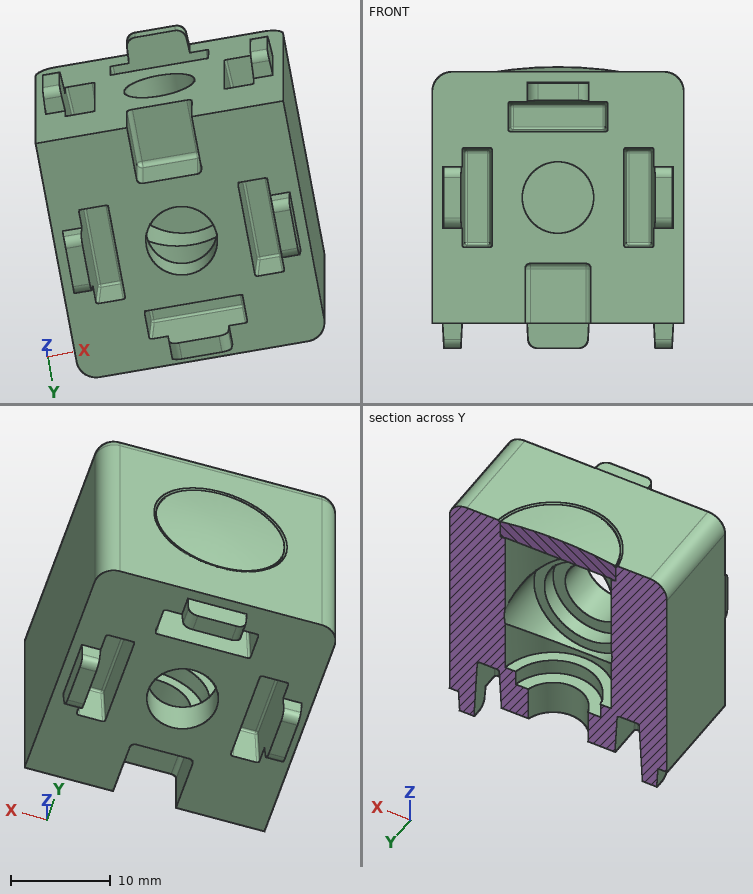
import cadquery as cq
import math

overall = 28.2
cube = 25.2
half = cube / 2
edge_radius = 2.0

draft_angle = 3.0
slot_outer = 9.6
tab_height = 2.5
tab_length = 6.2
tab_thickness = 1.97
tab_corner_radius = 1.0
slot_length = 9.98
slot_width = 3.0
slot_depth = 5.0
slot_radius = 0.25
connector_angles = (0, 90, 180)

notch_width = 6.6
notch_depth = 6.0
notch_radius = 0.54

port_radius = 3.58
port_depth = 4.0
step_radius = 5.0
step_depth = 5.72
chamber_radius = 6.2
lens_radius = 6.75
mouth_chamfer = 0.25
lens_rise = overall - cube - tab_height
rim_drop = 0.08
rim_thickness = 2.0
rim_z = half - rim_drop
seat_z = rim_z - rim_thickness
dome_sag = lens_rise + rim_drop
dome_radius = (lens_radius**2 + dome_sag**2) / (2 * dome_sag)


def on_both_axes(shape):
    """Return the shape and its twin with the Y and Z directions exchanged."""
    return [shape, shape.rotate((0, 0, 0), (0, 1, 1), 180)]


def make_block():
    """Cube with rounded edges, except around its front and bottom faces."""
    block = cq.Workplane("XY").box(cube, cube, cube)
    block = block.edges("|Y and >Z").fillet(edge_radius)
    return block.faces(">Y").edges("not <Z").fillet(edge_radius)


def make_tab():
    """Drafted tab under the bottom face, on the +X side."""
    tab = (
        cq.Workplane("XY", origin=(slot_outer + tab_thickness / 2, 0, -half))
        .rect(tab_thickness, tab_length)
        .extrude(-tab_height, taper=draft_angle)
    )
    return tab.faces("<Z").edges("|X").fillet(tab_corner_radius)


def make_slot():
    """Drafted slot volume rising from the bottom face, on the +X side."""
    slot = (
        cq.Workplane("XY", origin=(slot_outer - slot_width / 2, 0, -half))
        .rect(slot_width, slot_length)
        .extrude(slot_depth, taper=draft_angle)
    )
    return slot.edges("not <Z").fillet(slot_radius)


def make_notch():
    """Notch volume open to the front and bottom, with rounded inner edges."""
    notch = cq.Workplane("XY").box(notch_width, notch_depth, notch_depth)
    offset = half - notch_depth / 2
    return notch.edges("not (<Y or <Z)").fillet(notch_radius).translate((0, -offset, -offset))


def make_light_path():
    """Stepped bore along Z from the port in the bottom to the lens seat on top."""
    port_top = port_depth - half
    step_top = step_depth - half
    return (
        cq.Workplane("XZ")
        .moveTo(0, -half)
        .lineTo(port_radius, -half)
        .lineTo(port_radius, port_top)
        .lineTo(step_radius, port_top)
        .lineTo(step_radius, step_top)
        .lineTo(chamber_radius, step_top)
        .lineTo(chamber_radius, seat_z)
        .lineTo(lens_radius, seat_z)
        .lineTo(lens_radius, half - mouth_chamfer)
        .lineTo(lens_radius + mouth_chamfer, half)
        .lineTo(0, half)
        .close()
        .revolve(360, (0, 0, 0), (0, 1, 0))
    )


def make_lens():
    """Plano-convex lens in the top seat."""
    apex_z = half + lens_rise
    mid_radius = lens_radius / 2
    mid_z = apex_z - dome_radius + math.sqrt(dome_radius**2 - mid_radius**2)
    return (
        cq.Workplane("XZ")
        .moveTo(0, seat_z)
        .lineTo(lens_radius, seat_z)
        .lineTo(lens_radius, rim_z)
        .threePointArc((mid_radius, mid_z), (0, apex_z))
        .close()
        .revolve(360, (0, 0, 0), (0, 1, 0))
    )


def make_housing():
    """Block with light paths, notch, and three tabs and slots on two faces."""
    housing = make_block().cut(make_notch())
    for path in on_both_axes(make_light_path()):
        housing = housing.cut(path)
    for angle in connector_angles:
        slot = make_slot().rotate((0, 0, 0), (0, 0, 1), angle)
        tab = make_tab().rotate((0, 0, 0), (0, 0, 1), angle)
        for placed_slot in on_both_axes(slot):
            housing = housing.cut(placed_slot)
        for placed_tab in on_both_axes(tab):
            housing = housing.union(placed_tab)
    return housing


housing = make_housing()
lenses = on_both_axes(make_lens())

result = cq.Compound.makeCompound([housing.val(), *[lens.val() for lens in lenses]])